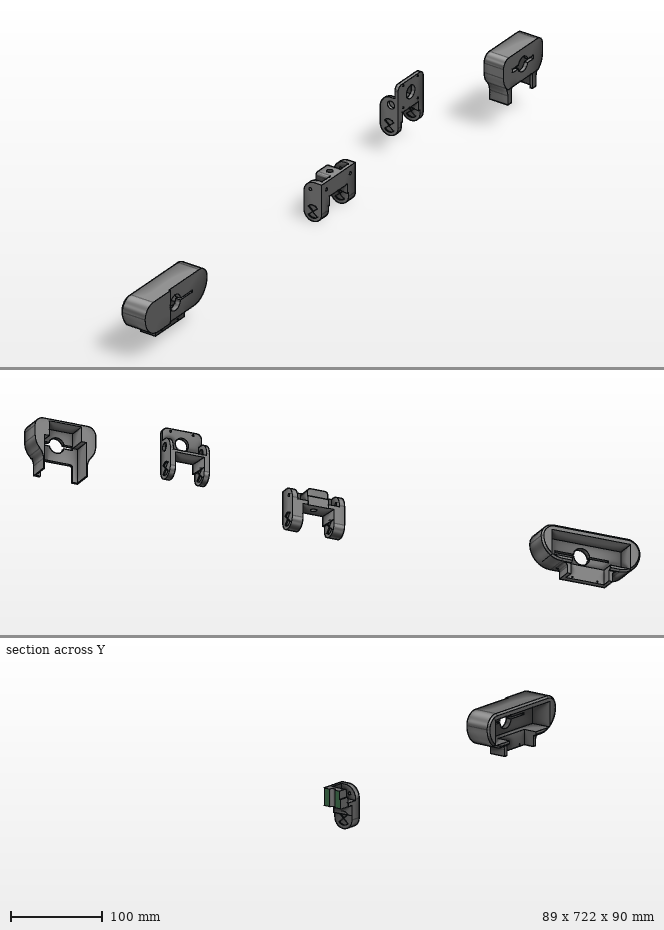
import cadquery as cq
import math



def box(x_range, y_range, z_range):
    """Axis-aligned box between the given limits."""
    sizes = [limits[1] - limits[0] for limits in (x_range, y_range, z_range)]
    corner = cq.Vector(x_range[0], y_range[0], z_range[0])
    return cq.Workplane(cq.Solid.makeBox(*sizes, corner))


def centred(half_width):
    """Y limits of a feature centred on its body's own centre plane."""
    return (-half_width, half_width)


def hole_along_x(diameter, y, z, x_range):
    """Cutting cylinder parallel to X."""
    plane = cq.Workplane("YZ", origin=(x_range[0], y, z))
    return plane.circle(diameter / 2).extrude(x_range[1] - x_range[0])


def hole_along_y(diameter, x, z, half_width):
    """Cutting cylinder parallel to Y, centred on the body's centre plane."""
    plane = cq.Workplane("XZ", origin=(x, 0, z))
    return plane.circle(diameter / 2).extrude(half_width, both=True)


HOOD_Y = 324.0
HOOD_FRONT, HOOD_REAR = 18.0, 44.0
HOOD_WALL = 4.0
HOOD_HALF_WIDTH = 37.0
HOOD_TOP = 45.0
HOOD_CORNER_RADIUS = 10.0
HOOD_ROOF = 2.0
LEG_TIP = -14.5
LEG_HALF_SPAN = 27.0
LEG_SKIN = 1.5
LEG_SETBACK = 1.5
SHOULDER_TOP, SHOULDER_BOTTOM = 23.0, -3.0
SHOULDER_JOIN = 0.57
BAY_HALF_WIDTH = 19.5
BAY_FLOOR = 25.0
ARCH_TOP = 6.0
ARCH_RADIUS = 3.5
HOOD_HOLE_DIAMETER = 18.0
HOOD_SLOT_HEIGHT = 4.0


def hood_outline():
    """Rounded top, straight sides, S-shaped shoulders and narrow legs."""
    join_y = HOOD_HALF_WIDTH + SHOULDER_JOIN * (LEG_HALF_SPAN - HOOD_HALF_WIDTH)
    join_z = SHOULDER_TOP + SHOULDER_JOIN * (SHOULDER_BOTTOM - SHOULDER_TOP)
    half = (
        cq.Workplane("YZ", origin=(HOOD_FRONT, 0, 0))
        .moveTo(0, HOOD_TOP)
        .lineTo(HOOD_HALF_WIDTH - HOOD_CORNER_RADIUS, HOOD_TOP)
        .tangentArcPoint((HOOD_HALF_WIDTH, HOOD_TOP - HOOD_CORNER_RADIUS), relative=False)
        .lineTo(HOOD_HALF_WIDTH, SHOULDER_TOP)
        .tangentArcPoint((join_y, join_z), relative=False)
        .tangentArcPoint((LEG_HALF_SPAN, SHOULDER_BOTTOM), relative=False)
        .lineTo(LEG_HALF_SPAN, LEG_TIP)
        .lineTo(0, LEG_TIP)
        .close()
        .extrude(HOOD_REAR - HOOD_FRONT)
    )
    return half.union(half.mirror("XZ"))


def make_hood_clip():
    through = (HOOD_FRONT, HOOD_REAR)
    cavity_depth = (HOOD_FRONT, HOOD_REAR - HOOD_WALL)
    upper_bay = box(cavity_depth, centred(BAY_HALF_WIDTH), (BAY_FLOOR, HOOD_TOP - HOOD_ROOF))
    lower_bay = box(cavity_depth, centred(LEG_HALF_SPAN - LEG_SKIN), (LEG_TIP, BAY_FLOOR))
    arch = (
        box(through, centred(BAY_HALF_WIDTH), (LEG_TIP, ARCH_TOP))
        .edges("|X and >Z")
        .fillet(ARCH_RADIUS)
    )
    leg_back = box(
        (HOOD_REAR - LEG_SETBACK, HOOD_REAR), centred(HOOD_HALF_WIDTH), (LEG_TIP, ARCH_TOP)
    )
    half_slot = HOOD_SLOT_HEIGHT / 2
    slot = box(through, centred(BAY_HALF_WIDTH), (BAY_FLOOR - half_slot, BAY_FLOOR + half_slot))
    hole = hole_along_x(HOOD_HOLE_DIAMETER, 0, BAY_FLOOR, through)
    body = hood_outline()
    for cutter in (upper_bay, lower_bay, arch, leg_back, slot, hole):
        body = body.cut(cutter)
    return body.translate((0, HOOD_Y, 0))


FORK_DEPTH = 24.0
FORK_END_RADIUS = FORK_DEPTH / 2
FORK_SHOULDER_RADIUS = 14.5
FORK_WALL = 4.0
BOWTIE_RADIUS = 8.0
BOWTIE_HALF_ANGLE = math.radians(50)
BOWTIE_DEPTH = 1.5
RIB_WIDTH = 2.0
RIB_HEIGHT = 11.5


def cheek(front, top, tip, outer, inner):
    """Side plate between two Y values, with a round tip and a rounded upper front corner."""
    rear = front + FORK_DEPTH
    pivot_z = tip + FORK_END_RADIUS
    return (
        cq.Workplane("XZ", origin=(0, max(outer, inner), 0))
        .moveTo(rear, pivot_z)
        .lineTo(rear, top)
        .lineTo(front + FORK_SHOULDER_RADIUS, top)
        .tangentArcPoint((front, top - FORK_SHOULDER_RADIUS), relative=False)
        .lineTo(front, pivot_z)
        .tangentArcPoint((rear, pivot_z), relative=False)
        .close()
        .extrude(abs(outer - inner))
    )


def bowtie(front, tip, face_y, inward):
    """Two fan-shaped cutters meeting at the pivot, cut from a leg face along Y (inward is +1 or -1)."""
    reach_x = BOWTIE_RADIUS * math.sin(BOWTIE_HALF_ANGLE)
    reach_z = BOWTIE_RADIUS * math.cos(BOWTIE_HALF_ANGLE)
    fans = cq.Workplane("XZ", origin=(front + FORK_END_RADIUS, face_y, tip + FORK_END_RADIUS))
    for way in (1, -1):
        fans = (
            fans.moveTo(0, 0)
            .lineTo(-reach_x, way * reach_z)
            .threePointArc((0, way * BOWTIE_RADIUS), (reach_x, way * reach_z))
            .close()
        )
    return fans.extrude(-inward * BOWTIE_DEPTH)


def rib(front, side, inner, top):
    """Wedge on the inner face of a leg, growing towards the rear, under the bridge."""
    rear = front + FORK_DEPTH
    return (
        cq.Workplane("XY", origin=(0, 0, top - RIB_HEIGHT))
        .polyline([(front, side * inner), (rear, side * inner), (rear, side * (inner - RIB_WIDTH))])
        .close()
        .extrude(RIB_HEIGHT)
    )


def fork_frame(front, top, tip, bridge, half_width, cheek_width, leg_width):
    """Two cheeks with thicker legs below, joined by a horizontal bridge (bottom, top)."""
    rear = front + FORK_DEPTH
    frame = box((front, rear), centred(half_width), bridge)
    below_bridge = box((front, rear), centred(half_width), (tip, bridge[1]))
    for side in (1, -1):
        outer = side * half_width
        upper = cheek(front, top, tip, outer, side * (half_width - cheek_width))
        leg = cheek(front, top, tip, outer, side * (half_width - leg_width))
        frame = frame.union(upper).union(leg.intersect(below_bridge))
        frame = frame.union(rib(front, side, half_width - leg_width, bridge[0]))
        frame = frame.cut(bowtie(front, tip, outer, -side))
        frame = frame.cut(bowtie(front, tip, side * (half_width - leg_width), side))
    return frame


PLATE_FORK_Y = 204.0
PLATE_FORK_FRONT = -45.0
PLATE_FORK_REAR = PLATE_FORK_FRONT + FORK_DEPTH
PLATE_FORK_HALF_WIDTH = 24.0
PLATE_FORK_CHEEK, PLATE_FORK_LEG = 3.5, 6.5
PLATE_FORK_CHEEK_TOP = 24.5
PLATE_FORK_TIP = -23.0
PLATE_FORK_BRIDGE = (5.0, 8.0)
PLATE_TOP = 40.5
PLATE_CORNER_RADIUS = 6.5
PLATE_HOLE_DIAMETER = 16.0
PLATE_HOLE_Z = 24.0
SCREW_HOLE_DIAMETER = 2.0
SCREW_OFFSET = 14.0
CROSS_HOLE_DIAMETER = 9.5
CROSS_HOLE_X, CROSS_HOLE_Z = -30.0, 15.0


def make_plate_fork():
    plate_depth = (PLATE_FORK_REAR - FORK_WALL, PLATE_FORK_REAR)
    plate = (
        box(plate_depth, centred(PLATE_FORK_HALF_WIDTH), (PLATE_FORK_BRIDGE[0], PLATE_TOP))
        .edges("|X and >Z")
        .fillet(PLATE_CORNER_RADIUS)
    )
    frame = fork_frame(
        PLATE_FORK_FRONT, PLATE_FORK_CHEEK_TOP, PLATE_FORK_TIP, PLATE_FORK_BRIDGE,
        PLATE_FORK_HALF_WIDTH, PLATE_FORK_CHEEK, PLATE_FORK_LEG,
    )
    body = frame.union(plate)
    body = body.cut(hole_along_x(PLATE_HOLE_DIAMETER, 0, PLATE_HOLE_Z, plate_depth))
    for side in (1, -1):
        for level in (1, -1):
            screw_z = PLATE_HOLE_Z + level * SCREW_OFFSET
            body = body.cut(
                hole_along_x(SCREW_HOLE_DIAMETER, side * SCREW_OFFSET, screw_z, plate_depth)
            )
    body = body.cut(
        hole_along_y(CROSS_HOLE_DIAMETER, CROSS_HOLE_X, CROSS_HOLE_Z, PLATE_FORK_HALF_WIDTH)
    )
    return body.translate((0, PLATE_FORK_Y, 0))


SADDLE_Y = 37.5
SADDLE_FRONT = -23.0
SADDLE_REAR = SADDLE_FRONT + FORK_DEPTH
SADDLE_HALF_WIDTH = 32.0
SADDLE_CHEEK, SADDLE_LEG = 6.5, 13.0
SADDLE_TOP = 3.5
SADDLE_TIP = -45.0
SADDLE_BRIDGE = (-16.5, -12.0)
BLOCK_HALF_WIDTH = 12.0
BLOCK_EDGE_RADIUS = 3.5
BLOCK_STEP = 2.0
BLOCK_STEP_Z = -6.0
BLOCK_INSET = 1.0
BLOCK_HOLE_DIAMETER = 7.0
BLOCK_HOLE_X = -11.0
WALL_HOLE_DIAMETER = 3.4
WALL_HOLE_Y, WALL_HOLE_Z = 22.5, -6.0
PIN_HOLE_DIAMETER = 3.4
PIN_HOLE_X, PIN_HOLE_Z = -14.5, -6.0


def saddle_block():
    """Central block with rounded upper side edges and a stepped front."""
    depth = (SADDLE_FRONT, SADDLE_REAR)
    block = (
        box(depth, centred(BLOCK_HALF_WIDTH), (SADDLE_BRIDGE[0], SADDLE_TOP))
        .edges("|X and >Z")
        .fillet(BLOCK_EDGE_RADIUS)
    )
    step_depth = (SADDLE_FRONT, SADDLE_FRONT + BLOCK_STEP)
    return block.cut(box(step_depth, centred(BLOCK_HALF_WIDTH), (BLOCK_STEP_Z, SADDLE_TOP)))


def saddle_front_inset():
    """Shallow cut that sets the block, and the bridge below it, behind the front of the fork."""
    depth = (SADDLE_FRONT, SADDLE_FRONT + BLOCK_INSET)
    return box(depth, centred(BLOCK_HALF_WIDTH), (SADDLE_BRIDGE[0], SADDLE_TOP))


def make_saddle_fork():
    wall_depth = (SADDLE_REAR - FORK_WALL, SADDLE_REAR)
    wall = box(wall_depth, centred(SADDLE_HALF_WIDTH), (SADDLE_BRIDGE[0], SADDLE_TOP))
    frame = fork_frame(
        SADDLE_FRONT, SADDLE_TOP, SADDLE_TIP, SADDLE_BRIDGE,
        SADDLE_HALF_WIDTH, SADDLE_CHEEK, SADDLE_LEG,
    )
    body = frame.union(wall).union(saddle_block())
    body = body.cut(saddle_front_inset())
    block_hole = (
        cq.Workplane("XY", origin=(BLOCK_HOLE_X, 0, SADDLE_BRIDGE[0]))
        .circle(BLOCK_HOLE_DIAMETER / 2)
        .extrude(SADDLE_TOP - SADDLE_BRIDGE[0])
    )
    body = body.cut(block_hole)
    for side in (1, -1):
        body = body.cut(
            hole_along_x(WALL_HOLE_DIAMETER, side * WALL_HOLE_Y, WALL_HOLE_Z, wall_depth)
        )
        cheek_hole = cq.Workplane("XZ", origin=(PIN_HOLE_X, side * SADDLE_HALF_WIDTH, PIN_HOLE_Z))
        body = body.cut(cheek_hole.circle(PIN_HOLE_DIAMETER / 2).extrude(side * SADDLE_CHEEK))
    return body.translate((0, SADDLE_Y, 0))


SHELL_HALF_WIDTH = 60.0
SHELL_Y = SHELL_HALF_WIDTH - 361
SHELL_FRONT, SHELL_REAR = -8.0, 22.5
SHELL_TOP, SHELL_BOTTOM = 23.0, -17.0
SHELL_UPPER_RADIUS = 15.0
SHELL_LOWER_RADIUS = SHELL_TOP - SHELL_UPPER_RADIUS - SHELL_BOTTOM
SHELL_RIM_CHAMFER = 2.0
SHELL_BACK = 6.5
CAVITY_HALF_WIDTH = 47.5
CAVITY_BOTTOM, CAVITY_TOP = -12.0, 16.5
SHELL_HOLE_DIAMETER = 19.5
SHELL_HOLE_Z = 2.0
SHELL_SLOT_HALF_LENGTH = 32.5
SHELL_SLOT_HEIGHT = 2.0
PAD_THICKNESS = 2.0
PAD_LENGTH = 47.5
NECK_FRONT, NECK_REAR = -4.0, 15.0
NECK_HALF_WIDTH = 27.5
NECK_BOTTOM = -29.5
NECK_SIDE_WALL = 4.0
NECK_BACK_WALL = 7.0
NECK_FILLET = 4.0
NECK_HOLE_DIAMETER = 1.2
NECK_HOLE_Y, NECK_HOLE_Z = 15.0, -27.5


def shell_outline(x_start, thickness):
    """Flat top and bottom joined by round ends, each made of two tangent quarter arcs."""
    top_flat = SHELL_HALF_WIDTH - SHELL_UPPER_RADIUS
    bottom_flat = SHELL_HALF_WIDTH - SHELL_LOWER_RADIUS
    widest_z = SHELL_TOP - SHELL_UPPER_RADIUS
    return (
        cq.Workplane("YZ", origin=(x_start, 0, 0))
        .moveTo(-top_flat, SHELL_TOP)
        .lineTo(top_flat, SHELL_TOP)
        .tangentArcPoint((SHELL_HALF_WIDTH, widest_z), relative=False)
        .tangentArcPoint((bottom_flat, SHELL_BOTTOM), relative=False)
        .lineTo(-bottom_flat, SHELL_BOTTOM)
        .tangentArcPoint((-SHELL_HALF_WIDTH, widest_z), relative=False)
        .tangentArcPoint((-top_flat, SHELL_TOP), relative=False)
        .close()
        .extrude(thickness)
    )


def shell_neck():
    """Neck under the shell, flared where its sides meet the shell."""
    foot = NECK_HALF_WIDTH + NECK_FILLET
    flare_z = SHELL_BOTTOM - NECK_FILLET
    half = (
        cq.Workplane("YZ", origin=(NECK_FRONT, 0, 0))
        .moveTo(0, CAVITY_BOTTOM)
        .lineTo(foot, CAVITY_BOTTOM)
        .lineTo(foot, SHELL_BOTTOM)
        .radiusArc((NECK_HALF_WIDTH, flare_z), -NECK_FILLET)
        .lineTo(NECK_HALF_WIDTH, NECK_BOTTOM)
        .lineTo(0, NECK_BOTTOM)
        .close()
        .extrude(NECK_REAR - NECK_FRONT)
    )
    return half.union(half.mirror("XZ"))


def make_rounded_shell():
    body = shell_outline(SHELL_FRONT, SHELL_REAR - SHELL_FRONT)
    body = body.faces("<X").chamfer(SHELL_RIM_CHAMFER)
    pad_zone = box(
        (SHELL_REAR, SHELL_REAR + PAD_THICKNESS),
        (-SHELL_HALF_WIDTH, PAD_LENGTH - SHELL_HALF_WIDTH),
        (SHELL_BOTTOM, SHELL_TOP),
    )
    body = body.union(shell_outline(SHELL_REAR, PAD_THICKNESS).intersect(pad_zone))
    body = body.union(shell_neck())

    neck_back = (NECK_REAR - NECK_BACK_WALL, NECK_REAR)
    back = (SHELL_REAR - SHELL_BACK, SHELL_REAR)
    cavity = box((SHELL_FRONT, back[0]), centred(CAVITY_HALF_WIDTH), (CAVITY_BOTTOM, CAVITY_TOP))
    neck_channel = box(
        (SHELL_FRONT, neck_back[0]),
        centred(NECK_HALF_WIDTH - NECK_SIDE_WALL),
        (NECK_BOTTOM, CAVITY_BOTTOM),
    )
    half_slot = SHELL_SLOT_HEIGHT / 2
    slot = box(
        back, centred(SHELL_SLOT_HALF_LENGTH), (SHELL_HOLE_Z - half_slot, SHELL_HOLE_Z + half_slot)
    )
    hole = hole_along_x(SHELL_HOLE_DIAMETER, 0, SHELL_HOLE_Z, back)
    for cutter in (cavity, neck_channel, slot, hole):
        body = body.cut(cutter)
    for side in (1, -1):
        body = body.cut(
            hole_along_x(NECK_HOLE_DIAMETER, side * NECK_HOLE_Y, NECK_HOLE_Z, neck_back)
        )
    return body.translate((0, SHELL_Y, 0))


hood_clip = make_hood_clip()
plate_fork = make_plate_fork()
saddle_fork = make_saddle_fork()
rounded_shell = make_rounded_shell()

result = cq.Compound.makeCompound(
    [hood_clip.val(), plate_fork.val(), saddle_fork.val(), rounded_shell.val()]
)